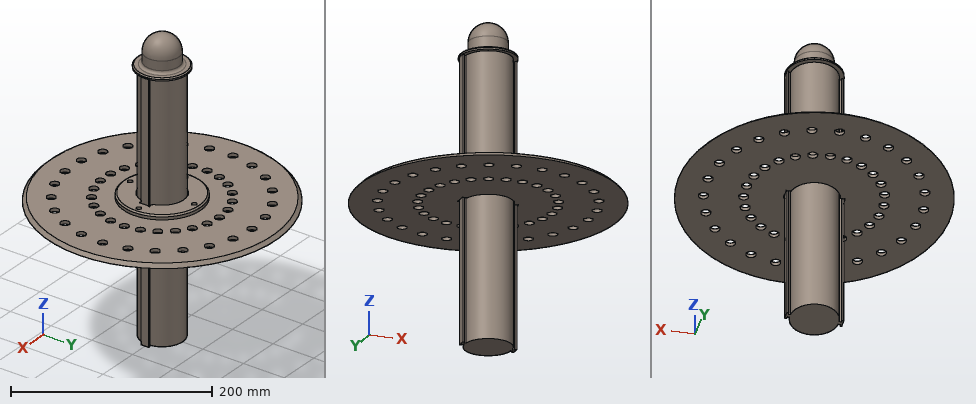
import cadquery as cq
import math

total_height = 342.3

pole_radius = 25.0
rail_reach = 29.0
rail_head_width = 9.2
rail_head_thickness = 2.0
rail_neck_width = 4.8

flange_radius = 29.8
flange_bottom = 304.5
flange_thickness = 3.0
flange_chamfer = 1.5
dome_radius = 20.2
stem_fillet = 3.5
flange_top = flange_bottom + flange_thickness
dome_base = total_height - dome_radius

plate_diameter = 278.3
plate_bottom = 152.3
plate_thickness = 4.0
plate_rim_slope = 45
plate_hole_diameter = 10.0
holes_per_circle = 25
hole_circle_radii = (70.0, 110.2)
first_hole_angle = 90

collar_radius = 47.0
collar_thickness = 5.0
collar_chamfer = 1.7
collar_bottom = plate_bottom + plate_thickness
screw_circle_radius = 39.5
screw_hole_diameter = 5.5
screw_count = 4

bore_clearance = 1.0
bore_radius = pole_radius + bore_clearance
slot_width = 12.3
slot_reach = 30.0


def disc(radius, height, bottom):
    return cq.Workplane("XY", origin=(0, 0, bottom)).circle(radius).extrude(height)


def bar(length, width, height, bottom):
    """Box centred on the Z axis, with its length along X."""
    return cq.Workplane("XY", origin=(0, 0, bottom)).rect(length, width).extrude(height)


def hole_circle(circle_radius, diameter, count, start_angle, depth, bottom):
    """Ring of equally spaced cylinders to be cut out of a body."""
    return (
        cq.Workplane("XY", origin=(0, 0, bottom))
        .polarArray(circle_radius, start_angle, 360, count)
        .circle(diameter / 2)
        .extrude(depth)
    )


def pole_opening(height, bottom):
    """Round bore with a slot on each side for the rails."""
    slots = bar(2 * slot_reach, slot_width, height, bottom)
    return disc(bore_radius, height, bottom).union(slots)


def make_shaft():
    """Round shaft with both T-shaped rails running its full length."""
    shaft = disc(pole_radius, flange_bottom, 0)
    neck_reach = rail_reach - rail_head_thickness
    shaft = shaft.union(bar(2 * neck_reach, rail_neck_width, flange_bottom, 0))
    for side in (-1, 1):
        head_centre = side * (rail_reach - rail_head_thickness / 2)
        rail_head = bar(rail_head_thickness, rail_head_width, flange_bottom, 0)
        shaft = shaft.union(rail_head.translate((head_centre, 0, 0)))
    return shaft


def make_domed_stem():
    """Stem that flares into the flange through a fillet and ends in a hemisphere."""
    diagonal = math.sqrt(0.5)
    fillet_radius = dome_radius + stem_fillet
    fillet_top = flange_top + stem_fillet
    fillet_middle = (fillet_radius - stem_fillet * diagonal, fillet_top - stem_fillet * diagonal)
    dome_middle = (dome_radius * diagonal, dome_base + dome_radius * diagonal)
    return (
        cq.Workplane("XZ")
        .moveTo(0, flange_top)
        .lineTo(fillet_radius, flange_top)
        .threePointArc(fillet_middle, (dome_radius, fillet_top))
        .lineTo(dome_radius, dome_base)
        .threePointArc(dome_middle, (0, total_height))
        .close()
        .revolve(360, (0, 0), (0, 1))
    )


def make_pole():
    flange = disc(flange_radius, flange_thickness, flange_bottom)
    flange = flange.faces(">Z").chamfer(flange_chamfer)
    return make_shaft().union(flange).union(make_domed_stem())


def make_plate():
    blank = cq.Workplane("XY", origin=(0, 0, plate_bottom)).circle(plate_diameter / 2)
    plate = blank.extrude(plate_thickness, taper=plate_rim_slope)
    plate = plate.cut(pole_opening(plate_thickness, plate_bottom))
    for circle_radius in hole_circle_radii:
        holes = hole_circle(
            circle_radius, plate_hole_diameter, holes_per_circle,
            first_hole_angle, plate_thickness, plate_bottom,
        )
        plate = plate.cut(holes)
    return plate


def make_collar():
    collar = disc(collar_radius, collar_thickness, collar_bottom)
    collar = collar.faces(">Z").chamfer(collar_chamfer)
    collar = collar.cut(pole_opening(collar_thickness, collar_bottom))
    screw_holes = hole_circle(
        screw_circle_radius, screw_hole_diameter, screw_count, 0, collar_thickness, collar_bottom
    )
    return collar.cut(screw_holes)


pole = make_pole()
plate = make_plate()
collar = make_collar()

result = cq.Compound.makeCompound([pole.val(), plate.val(), collar.val()])